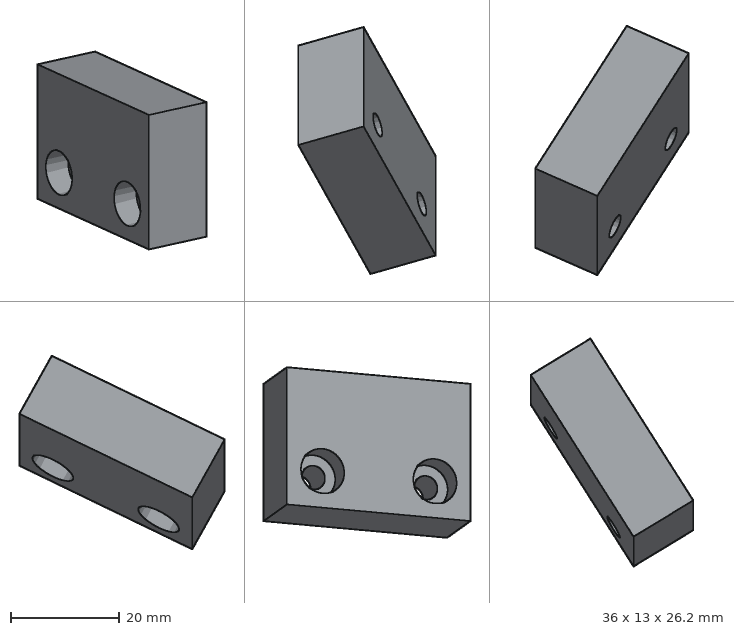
import cadquery as cq

block_length = 36.0
block_depth = 13.0
block_height = 26.2

hole_inset = 7.0
hole_diameter = 4.5
counterbore_diameter = 8.5
counterbore_depth = 5.0


def make_block():
    """Plain block with its front lower left corner at the origin."""
    return cq.Workplane("XY").box(block_length, block_depth, block_height, centered=False)


def cut_screw_holes(block):
    """Cut the two screw holes, each with its counterbore in the front (-Y) face."""
    hole_axes = [(hole_inset, hole_inset), (block_length - hole_inset, hole_inset)]
    return (
        block.faces("<Y")
        .workplane(origin=(0, 0, 0))
        .pushPoints(hole_axes)
        .cboreHole(hole_diameter, counterbore_diameter, counterbore_depth)
    )


block = cut_screw_holes(make_block())

result = cq.Compound.makeCompound([block.val()])